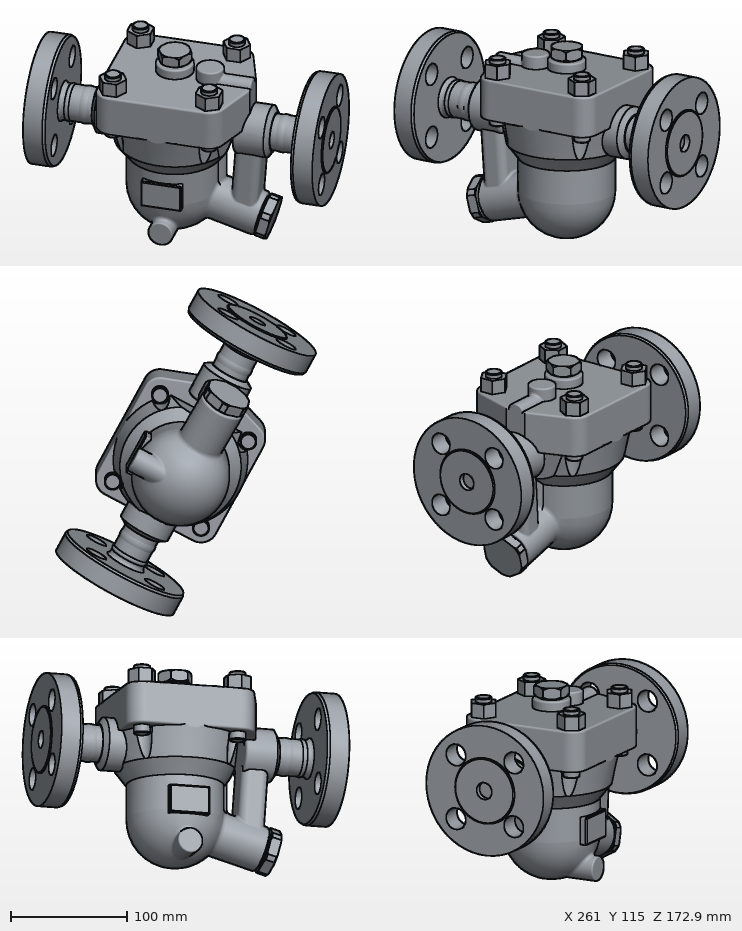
import cadquery as cq
import math


overall_length = 261.0
flange_diameter = 115.0
flange_thickness = 19.5
flange_chamfer_length = 2.3
flange_chamfer_height = 1.0
raised_face_diameter = 58.5
raised_face_height = 1.0
bolt_circle_diameter = 80.0
bolt_hole_diameter = 19.0
bolt_hole_count = 4
bore_diameter = 15.0
bore_depth = 5.2
pipe_diameter = 32.0
neck_flare_length = 4.0
neck_flare_height = 1.8
bead_height = 0.65
bead_spans = [(100.7, 104.7), (84.8, 91.4)]
hub_diameter = 46.0
hub_shoulder = 75.7
hub_cone_length = 4.0
hub_cone_diameter = 34.5
outlet_hub_end = 47.5
outlet_hub_radius = 2.3
outlet_web_radius = 3.7
outlet_web_width = 31.3

body_x = -10.0
stud_spacing = 86.0
cover_width = 115.0
cover_top = 44.0
cover_joint = 27.1
cover_bottom = 7.5
cover_edge_radius = 1.8
cover_tip_x = 60.0
cover_tip_width = 19.8
stud_diameter = 14.0
stud_top = 60.8
stud_bottom = 0.5
stud_chamfer = 0.8
nut_flats = 21.0
nut_corners = 24.0
nut_top = 56.6
nut_chamfer = 0.5
vent_boss_x = 21.7
vent_boss_diameter = 24.0
vent_boss_top = 55.9
vent_rib_width = 17.0
vent_rib_top = 49.5
vent_edge_radius = 1.5
vent_blend_radius = 2.0

bowl_diameter = 84.0
bowl_sphere_z = -62.6
collar_top_radius = 58.2
collar_rim_radius = 52.2
collar_rim_z = -19.0
collar_cone_bottom = -32.4
bowl_flat_x = 36.5
stud_relief_diameter = 17.7
channel_diameter = 18.8
channel_reach_x = 36.3
plate_width = 35.8
plate_top = -42.0
plate_bottom = -66.5
plate_face_y = -44.0
plate_corner_radius = 1.0
plate_chamfer = 1.0
drain_diameter = 22.0
drain_z = -90.8
drain_face_y = -46.0
drain_edge_radius = 1.3

branch_tilt = 15.0
branch_diameter = 40.0
branch_length = 80.0
branch_edge_radius = 1.8
cap_neck_diameter = 32.0
cap_neck_length = 1.8
cap_flats = 38.0
cap_corners = 41.2
cap_height = 9.5
cap_chamfer = 0.8
leg_tilt = 4.0
leg_width = 23.8
leg_depth = 31.3
leg_corner_radius = 7.0
leg_length = 78.3
leg_top_x = 60.0

plug_collar_diameter = 33.0
plug_collar_bottom = 47.2
plug_collar_top = 55.9
plug_collar_radius = 1.5
plug_neck_diameter = 21.0
plug_hex_bottom = 57.5
plug_hex_top = 67.0
plug_flats = 26.4
plug_corners = 30.3
plug_chamfer = 1.5

bowl_radius = bowl_diameter / 2
cover_corner_radius = (cover_width - stud_spacing) / 2
stud_half = stud_spacing / 2
drain_blend_radius = 2.5
branch_blend_radius = 4.5
leg_blend_radius = 2.0
seam_tolerance = 0.003


def cylinder(x, y, bottom, top, diameter):
    return cq.Workplane("XY", origin=(x, y, bottom)).circle(diameter / 2).extrude(top - bottom)


def blend(base, part, radius):
    """Joins two parts and rounds the seam between them."""
    joined = base.union(part)
    skins = [shape.val().Shells()[0] for shape in (base, part)]
    seam = []
    for edge in joined.edges().vals():
        middle = cq.Vertex.makeVertex(*edge.positionAt(0.5).toTuple())
        if all(skin.distance(middle) < seam_tolerance for skin in skins):
            seam.append(edge)
    return joined.newObject(seam).fillet(radius)


def chamfered_hex(flats, corners, height, chamfer, edges):
    """Hexagon along Z from the origin, flats facing Y, with turned-down corners."""
    prism = cq.Workplane("XY").polygon(6, flats / math.cos(math.pi / 6)).extrude(height)
    turned = cq.Workplane("XY").circle(corners / 2).extrude(height).edges(edges).chamfer(chamfer)
    return prism.intersect(turned)


def make_nozzle(hub_end):
    """Flange, pipe with weld beads and hub on the +X side, as one revolved profile."""
    face = overall_length / 2
    seat = face - raised_face_height
    back = seat - flange_thickness
    flange_r = flange_diameter / 2
    raised_r = raised_face_diameter / 2
    pipe_r = pipe_diameter / 2
    hub_r = hub_diameter / 2
    flare_radius = (neck_flare_length**2 + neck_flare_height**2) / (2 * neck_flare_height)
    flare_angle = math.asin(neck_flare_length / flare_radius) / 2
    flare_middle = (
        back - neck_flare_length + flare_radius * math.sin(flare_angle),
        pipe_r + flare_radius * (1 - math.cos(flare_angle)),
    )
    profile = (
        cq.Workplane("XY")
        .moveTo(face, 0)
        .lineTo(face, raised_r - raised_face_height)
        .lineTo(seat, raised_r)
        .lineTo(seat, flange_r)
        .lineTo(back + flange_chamfer_length, flange_r)
        .lineTo(back, flange_r - flange_chamfer_height)
        .lineTo(back, pipe_r + neck_flare_height)
        .threePointArc(flare_middle, (back - neck_flare_length, pipe_r))
    )
    for inner, outer in bead_spans:
        profile = (
            profile.lineTo(outer, pipe_r)
            .threePointArc(((inner + outer) / 2, pipe_r + bead_height), (inner, pipe_r))
        )
    return (
        profile.lineTo(hub_shoulder + hub_cone_length, pipe_r)
        .lineTo(hub_shoulder + hub_cone_length, hub_cone_diameter / 2)
        .lineTo(hub_shoulder, hub_r)
        .lineTo(hub_end, hub_r)
        .lineTo(hub_end, 0)
        .close()
        .revolve(360, (0, 0, 0), (1, 0, 0))
    )


def cut_flange_holes(nozzle):
    face = cq.Workplane("YZ", origin=(overall_length / 2, 0, 0))
    depth = raised_face_height + flange_thickness
    bolts = (
        face.polarArray(bolt_circle_diameter / 2, 45, 360, bolt_hole_count)
        .circle(bolt_hole_diameter / 2)
        .extrude(-depth)
    )
    bore = face.circle(bore_diameter / 2).extrude(-bore_depth)
    return nozzle.cut(bolts).cut(bore)


def cover_outline(bottom, top):
    """Square plate with a pointed outlet side; its flanks are tangent to the stud corners."""
    tip_y = cover_tip_width / 2
    dx = cover_tip_x - (body_x + stud_half)
    dy = stud_half - tip_y
    flank = math.acos(cover_corner_radius / math.hypot(dx, dy)) - math.atan2(dy, dx)
    half = cover_width / 2
    left = body_x - half
    shoulder = cover_tip_x - (half - tip_y) * math.tan(flank)
    points = [
        (left, -half),
        (shoulder, -half),
        (cover_tip_x, -tip_y),
        (cover_tip_x, tip_y),
        (shoulder, half),
        (left, half),
    ]
    plate = cq.Workplane("XY", origin=(0, 0, bottom)).polyline(points).close().extrude(top - bottom)
    corners = cq.selectors.BoxSelector((left - 2.5, -half - 2.5, bottom), (shoulder + 2.5, half + 2.5, top))
    return plate.edges("|Z").edges(corners).fillet(cover_corner_radius)


def make_cover():
    lower = cover_outline(cover_bottom, cover_joint).faces("<Z").edges().fillet(cover_edge_radius)
    upper = cover_outline(cover_joint, cover_top).faces(">Z").edges().fillet(cover_edge_radius)
    boss = cylinder(vent_boss_x, 0, cover_joint, vent_boss_top, vent_boss_diameter)
    boss = boss.faces(">Z").edges().fillet(vent_edge_radius)
    rib_radius = vent_rib_width / 2
    rib = (
        cq.Workplane("YZ", origin=(vent_boss_x, 0, vent_rib_top - rib_radius))
        .circle(rib_radius)
        .extrude(cover_tip_x - vent_boss_x)
        .faces(">X")
        .edges()
        .fillet(vent_edge_radius)
    )
    return lower.union(upper, clean=False).union(blend(boss, rib, vent_blend_radius), clean=False)


def make_outlet_web():
    """Concave web between the underside of the cover and the end of the outlet hub."""
    outer = outlet_hub_end - outlet_web_radius
    inner = outlet_hub_end + outlet_hub_radius
    web = (
        cq.Workplane("XZ", origin=(0, outlet_web_width / 2, 0))
        .moveTo(outer, cover_bottom)
        .radiusArc((outlet_hub_end, cover_bottom - outlet_web_radius), outlet_web_radius)
        .lineTo(inner, cover_bottom - outlet_web_radius)
        .lineTo(inner, cover_bottom + cover_edge_radius)
        .lineTo(outer, cover_bottom + cover_edge_radius)
        .close()
    )
    return web.extrude(outlet_web_width)


def stud_places():
    """Stud positions, each with the turn of its nut."""
    for side_x in (-1, 1):
        for side_y in (-1, 1):
            turn = 0 if side_x == side_y else 30
            yield body_x + side_x * stud_half, side_y * stud_half, turn


def make_stud_and_nut(x, y, turn):
    stud = cylinder(x, y, stud_bottom, stud_top, stud_diameter).faces("<Z or >Z").chamfer(stud_chamfer)
    nut = chamfered_hex(nut_flats, nut_corners, nut_top - cover_top, nut_chamfer, ">Z")
    return stud.union(nut.rotate((0, 0, 0), (0, 0, 1), turn).translate((x, y, cover_top)))


def make_bowl():
    """Conical collar under the cover on a round-bottomed cup."""
    bottom = bowl_sphere_z - bowl_radius
    arc_middle = (bowl_radius * math.sqrt(0.5), bowl_sphere_z - bowl_radius * math.sqrt(0.5))
    bowl = (
        cq.Workplane("XZ")
        .moveTo(0, cover_bottom + cover_edge_radius)
        .lineTo(collar_top_radius, cover_bottom + cover_edge_radius)
        .lineTo(collar_rim_radius, collar_rim_z)
        .lineTo(bowl_radius, collar_cone_bottom)
        .lineTo(bowl_radius, bowl_sphere_z)
        .threePointArc(arc_middle, (0, bottom))
        .close()
        .revolve(360, (0, 0, 0), (0, 1, 0))
        .translate((body_x, 0, 0))
    )
    reach = collar_top_radius
    beyond_flat = cq.Workplane("XY", origin=(bowl_flat_x, 0, cover_bottom)).rect(2 * reach, 2 * reach)
    beyond_flat = beyond_flat.extrude(collar_cone_bottom - cover_bottom)
    bowl = bowl.cut(beyond_flat.translate((reach, 0, 0)))
    within_cover = cq.Workplane("XY", origin=(body_x, 0, bottom)).rect(cover_width, cover_width)
    bowl = bowl.intersect(within_cover.extrude(cover_top - bottom))
    for x, y, _ in stud_places():
        bowl = bowl.cut(cylinder(x, y, collar_cone_bottom, cover_bottom, stud_relief_diameter))
    return bowl


def make_channel():
    """Upright rib between the collar and the branch."""
    x = channel_reach_x - channel_diameter / 2
    return cylinder(x, 0, bowl_sphere_z - 5.2, collar_rim_z, channel_diameter)


def make_plate():
    height = plate_top - plate_bottom
    plate = (
        cq.Workplane("XZ", origin=(body_x, 0, (plate_top + plate_bottom) / 2))
        .rect(plate_width, height)
        .extrude(-plate_face_y)
    )
    return plate.edges("|Y").fillet(plate_corner_radius).faces("<Y").edges().chamfer(plate_chamfer)


def make_drain():
    drain = cq.Workplane("XZ", origin=(body_x, 0, drain_z)).circle(drain_diameter / 2)
    return drain.extrude(-drain_face_y).faces("<Y").edges().fillet(drain_edge_radius)


def on_branch_axis(part):
    """Moves a part built along Z from the origin onto the sloping branch axis."""
    return part.rotate((0, 0, 0), (0, 1, 0), 90 + branch_tilt).translate((body_x, 0, bowl_sphere_z))


def make_branch():
    branch = cylinder(0, 0, 0, branch_length, branch_diameter)
    return on_branch_axis(branch.faces(">Z").edges().fillet(branch_edge_radius))


def make_branch_cap():
    cap_start = branch_length + cap_neck_length
    neck = cylinder(0, 0, branch_length - 2.5, cap_start, cap_neck_diameter)
    cap = chamfered_hex(cap_flats, cap_corners, cap_height, cap_chamfer, "%CIRCLE")
    return on_branch_axis(neck.union(cap.translate((0, 0, cap_start))))


def make_leg():
    leg = (
        cq.Workplane("XY")
        .rect(leg_width, leg_depth)
        .extrude(-leg_length)
        .edges("|Z")
        .fillet(leg_corner_radius)
    )
    return leg.rotate((0, 0, 0), (0, 1, 0), leg_tilt).translate((leg_top_x, 0, 0))


def make_trap():
    bowl = blend(make_bowl(), make_drain(), drain_blend_radius)
    trap = blend(bowl.union(make_channel()), make_branch(), branch_blend_radius)
    trap = blend(trap, make_leg(), leg_blend_radius)
    inlet = cut_flange_holes(make_nozzle(-body_x)).mirror("YZ")
    outlet_hub = make_nozzle(outlet_hub_end).faces("<X").edges().fillet(outlet_hub_radius)
    outlet = cut_flange_holes(outlet_hub)
    trap = trap.union(outlet).union(inlet).union(make_plate()).union(make_branch_cap())
    trap = trap.union(make_outlet_web()).union(make_cover(), clean=False)
    for x, y, turn in stud_places():
        trap = trap.union(make_stud_and_nut(x, y, turn), clean=False)
    return trap


def make_plug():
    collar = cylinder(body_x, 0, plug_collar_bottom, plug_collar_top, plug_collar_diameter)
    collar = collar.faces(">Z").edges().fillet(plug_collar_radius)
    neck = cylinder(body_x, 0, plug_collar_bottom, plug_hex_bottom, plug_neck_diameter)
    head = chamfered_hex(plug_flats, plug_corners, plug_hex_top - plug_hex_bottom, plug_chamfer, "%CIRCLE")
    return collar.union(neck).union(head.translate((body_x, 0, plug_hex_bottom)))


trap = make_trap()
plug = make_plug()
result = cq.Compound.makeCompound([trap.val(), plug.val()])